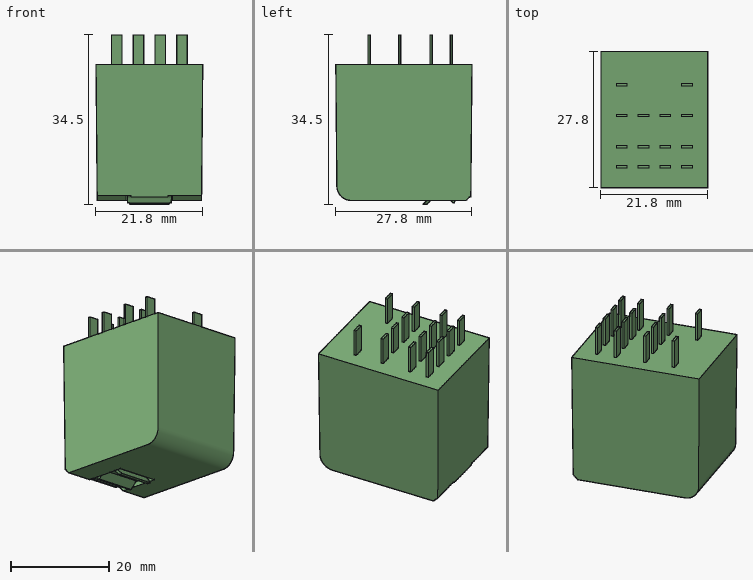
import cadquery as cq
import math

CASE_X = 21.8
CASE_Y = 27.8
CASE_HEIGHT = 27.75
DRAFT_ANGLE = 0.5
REAR_RADIUS = 3.0
FRONT_CHAMFER = 1.0

PIN_HEIGHT = 6.0
PIN_WIDTH = 2.2
PIN_THICKNESS = 0.5
PIN_PITCH = 4.43
PIN_COLUMNS = 4
FRONT_ROW_Y = -9.65
ROW_STEPS = (4.09, 6.4, 6.25)

POCKET_WIDTH = 9.5
POCKET_REAR_Y = -3.5

LIP_DROP = 0.3
LIP_WIDTH = 7.2
LIP_THICKNESS = 0.6

CLIP_WIDTH = 9.0
LEG_DROP = 0.47
LEG_FRONT_Y = -10.3
LEG_LEAN = math.radians(16.0)
LEG_TIP_THICKNESS = 0.3
LEG_FILLET = 0.9
TAIL_DROP = 0.75
TAIL_FRONT_Y = -4.7
TAIL_TIP_WIDTH = 8.0
TAIL_SIDE_SLOPE = 0.47
TAIL_THICKNESS = 0.85

BOTTOM_Z = -CASE_HEIGHT
FRONT_Y = -CASE_Y / 2
ROOF_Z = BOTTOM_Z + FRONT_CHAMFER
LEG_TIP_Z = BOTTOM_Z - LEG_DROP
LEG_HEIGHT = ROOF_Z - LEG_TIP_Z
LEG_ROOT_Y = LEG_FRONT_Y - LEG_HEIGHT * math.tan(LEG_LEAN)


def slab(outline, width):
    """Extrude a YZ outline symmetrically about X = 0."""
    return cq.Workplane("YZ").polyline(outline).close().extrude(width / 2, both=True)


def make_tapered_block():
    return cq.Workplane("XY").rect(CASE_X, CASE_Y).extrude(-CASE_HEIGHT, taper=DRAFT_ANGLE)


def make_case():
    """Tapered block with a rounded rear and a chamfered front bottom edge."""
    case = make_tapered_block().faces("<Z").edges(">Y").fillet(REAR_RADIUS)
    return case.faces("<Z").edges("<Y").chamfer(FRONT_CHAMFER)


def make_pocket():
    """Room for the clip, open to the front and the bottom."""
    outline = [
        (FRONT_Y, BOTTOM_Z),
        (FRONT_Y, ROOF_Z),
        (POCKET_REAR_Y, ROOF_Z),
        (POCKET_REAR_Y, BOTTOM_Z),
    ]
    return slab(outline, POCKET_WIDTH)


def make_lip():
    """Continuation of the drafted front wall below the pocket roof, with sloped ends."""
    half_width = LIP_WIDTH / 2
    outline = [
        (-half_width, ROOF_Z - LIP_DROP),
        (half_width, ROOF_Z - LIP_DROP),
        (half_width + LIP_DROP, ROOF_Z),
        (-half_width - LIP_DROP, ROOF_Z),
    ]
    front_plane = cq.Workplane("XZ", origin=(0, FRONT_Y, 0))
    prism = front_plane.polyline(outline).close().extrude(-LIP_THICKNESS)
    return prism.intersect(make_tapered_block())


def make_leg():
    """Front leg under the pocket roof; both of its faces slope towards its tip."""
    rear_tip_y = LEG_FRONT_Y + LEG_TIP_THICKNESS
    outline = [
        (LEG_FRONT_Y, LEG_TIP_Z),
        (LEG_ROOT_Y, ROOF_Z),
        (rear_tip_y + LEG_HEIGHT, ROOF_Z),
        (rear_tip_y, LEG_TIP_Z),
    ]
    return slab(outline, CLIP_WIDTH)


def make_leg_fillet():
    """Concave fillet between the pocket roof and the leaning front face of the leg."""
    tangent_length = LEG_FILLET * math.tan((math.pi / 2 - LEG_LEAN) / 2)
    center_y = LEG_ROOT_Y - tangent_length
    center_z = ROOF_Z - LEG_FILLET

    def arc_point(angle):
        return center_y + LEG_FILLET * math.cos(angle), center_z + LEG_FILLET * math.sin(angle)

    arc_start = arc_point(math.pi / 2)
    arc_middle = arc_point((math.pi / 2 + LEG_LEAN) / 2)
    arc_end = arc_point(LEG_LEAN)
    outline = cq.Workplane("YZ").moveTo(*arc_start).threePointArc(arc_middle, arc_end)
    return outline.lineTo(LEG_ROOT_Y, ROOF_Z).close().extrude(CLIP_WIDTH / 2, both=True)


def make_tail():
    """Tail leaning 45 degrees to the rear, with its sides narrowing towards the tip."""
    tip_z = BOTTOM_Z - TAIL_DROP
    height = ROOF_Z - tip_z
    side_outline = [
        (TAIL_FRONT_Y, tip_z),
        (TAIL_FRONT_Y - height, ROOF_Z),
        (TAIL_FRONT_Y - height + TAIL_THICKNESS, ROOF_Z),
        (TAIL_FRONT_Y + TAIL_THICKNESS, tip_z),
    ]
    tip_half = TAIL_TIP_WIDTH / 2
    root_half = tip_half + TAIL_SIDE_SLOPE * height
    front_outline = [
        (-tip_half, tip_z),
        (tip_half, tip_z),
        (root_half, ROOF_Z),
        (-root_half, ROOF_Z),
    ]
    narrowing = cq.Workplane("XZ").polyline(front_outline).close().extrude(CASE_Y / 2)
    return slab(side_outline, CLIP_WIDTH).intersect(narrowing)


def make_pin(x, y):
    pin = cq.Workplane("XY").box(PIN_WIDTH, PIN_THICKNESS, PIN_HEIGHT, centered=(True, True, False))
    return pin.translate((x, y, 0))


def pin_positions():
    """Full rows of pins, except the rear row, which has only its two end pins."""
    first_x = -PIN_PITCH * (PIN_COLUMNS - 1) / 2
    rear_row = len(ROW_STEPS)
    positions = []
    for row in range(rear_row + 1):
        y = FRONT_ROW_Y + sum(ROW_STEPS[:row])
        column_step = PIN_COLUMNS - 1 if row == rear_row else 1
        for column in range(0, PIN_COLUMNS, column_step):
            positions.append((first_x + column * PIN_PITCH, y))
    return positions


result = make_case().cut(make_pocket())
result = result.union(make_lip())
result = result.union(make_leg()).union(make_leg_fillet()).union(make_tail())
for pin_x, pin_y in pin_positions():
    result = result.union(make_pin(pin_x, pin_y))